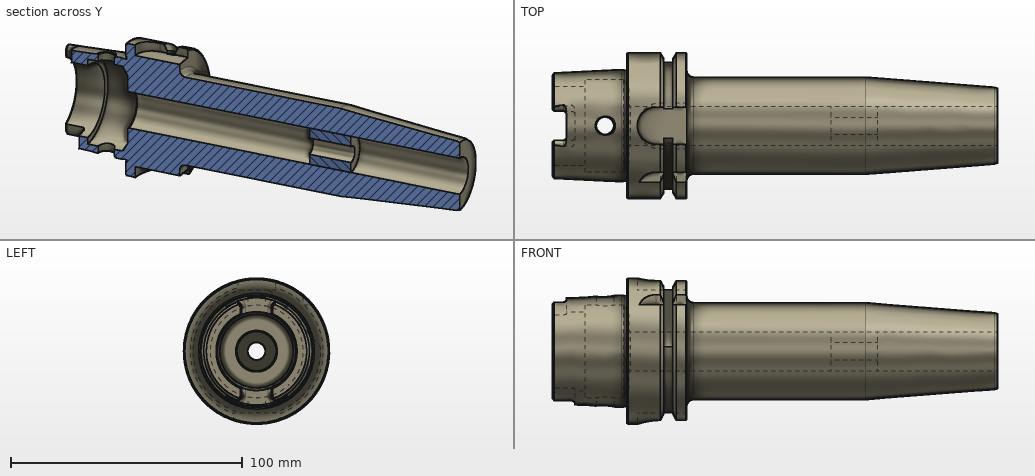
import cadquery as cq
import math


shank_length = 32.0
gauge_radius = 48.04 / 2
gauge_distance = 6.3
taper_slope = 1 / 20
neck_length = 1.0
taper_end = -2.3
neck_relief = 0.2
shank_chamfer_length = 0.8
shank_chamfer_depth = 1.1

flange_radius = 63.0 / 2
flange_width = 26.0
flange_chamfer = 0.6
groove_center = 18.0
groove_floor_radius = 55.0 / 2
groove_floor_width = 3.75
groove_mouth_width = 7.0
groove_half_angle = math.radians(30)
face_groove_radius = 25.0
face_groove_depth = 0.5

body_radius = 42.0 / 2
body_fillet = 2.7
nose_end = 160.0
nose_end_radius = 33.0 / 2
nose_half_angle = math.radians(4.5)
nose_chamfer_length = 1.5
nose_chamfer_depth = 0.4

mouth_radius = 34.0 / 2
mouth_chamfer = 0.5
mouth_length = 13.9
cavity_radius = 40.0 / 2
cavity_depth = 33.0
cavity_floor_radius = 15.8
cavity_floor_cone = 2.5

bore_radius = 16.92 / 2
bore_entry_chamfer = 0.5
screw_start = 88.0
screw_length = 20.0
screw_hole_radius = 7.5 / 2

drive_slot_width = 12.54
drive_slot_depth_top = 6.0
drive_slot_depth_bottom = 9.6
drive_slot_edge_radius = 2.3
drive_slot_floor_fillet = 1.4
drive_slot_lead_in = 0.8

cross_hole_radius = 7.5 / 2
cross_hole_x = -9.3
cross_hole_countersink_radius = 8.8 / 2

keyway_start = 4.6
keyway_floor = 26.5
top_keyway_width = 16.0
bottom_keyway_width = 20.0
corner_notch_offset = 20.0
corner_notch_width = 16.0

groove_flat_distance = 21.7
groove_flat_angle = 48.0


def taper_radius(x):
    """Outside radius of the shank taper at a position along the axis."""
    return gauge_radius + (x + gauge_distance) * taper_slope


def outer_form():
    """Shank, flange, body and nose as one turned shape."""
    shank_end = -shank_length
    neck_radius = taper_radius(taper_end) - neck_relief
    mouth_half = groove_mouth_width / 2
    floor_half = groove_floor_width / 2
    lip_radius = flange_radius - (mouth_half - floor_half) / math.tan(groove_half_angle)
    nose_start = nose_end - (body_radius - nose_end_radius) / math.tan(nose_half_angle)
    nose_edge_x = nose_end - nose_chamfer_length
    nose_edge_radius = nose_end_radius + nose_chamfer_length * math.tan(nose_half_angle)
    fillet_mid = body_fillet * (1 - math.sqrt(0.5))
    return (
        cq.Workplane("XY")
        .moveTo(shank_end, 0)
        .lineTo(shank_end, taper_radius(shank_end) - shank_chamfer_depth)
        .lineTo(shank_end + shank_chamfer_length, taper_radius(shank_end + shank_chamfer_length))
        .lineTo(taper_end, taper_radius(taper_end))
        .lineTo(-neck_length, neck_radius)
        .lineTo(face_groove_depth, neck_radius)
        .lineTo(face_groove_depth, face_groove_radius)
        .lineTo(0, face_groove_radius)
        .lineTo(0, flange_radius - flange_chamfer)
        .lineTo(flange_chamfer, flange_radius)
        .lineTo(groove_center - mouth_half, flange_radius)
        .lineTo(groove_center - floor_half, lip_radius)
        .lineTo(groove_center - floor_half, groove_floor_radius)
        .lineTo(groove_center + floor_half, groove_floor_radius)
        .lineTo(groove_center + floor_half, lip_radius)
        .lineTo(groove_center + mouth_half, flange_radius)
        .lineTo(flange_width - flange_chamfer, flange_radius)
        .lineTo(flange_width, flange_radius - flange_chamfer)
        .lineTo(flange_width, body_radius + body_fillet)
        .threePointArc(
            (flange_width + fillet_mid, body_radius + fillet_mid),
            (flange_width + body_fillet, body_radius),
        )
        .lineTo(nose_start, body_radius)
        .lineTo(nose_edge_x, nose_edge_radius)
        .lineTo(nose_end, nose_end_radius - nose_chamfer_depth)
        .lineTo(nose_end, 0)
        .close()
        .revolve(360, (0, 0, 0), (1, 0, 0))
    )


def inner_form():
    """Clamping cavity and the bore through to the nose, as one turned cutter."""
    shank_end = -shank_length
    mouth_end = shank_end + mouth_length
    cavity_floor = shank_end + cavity_depth
    return (
        cq.Workplane("XY")
        .moveTo(shank_end, 0)
        .lineTo(shank_end, mouth_radius + mouth_chamfer)
        .lineTo(shank_end + mouth_chamfer, mouth_radius)
        .lineTo(mouth_end, mouth_radius)
        .lineTo(mouth_end, cavity_radius)
        .lineTo(cavity_floor - cavity_floor_cone, cavity_radius)
        .lineTo(cavity_floor, cavity_floor_radius)
        .lineTo(cavity_floor, bore_radius + bore_entry_chamfer)
        .lineTo(cavity_floor + bore_entry_chamfer, bore_radius)
        .lineTo(nose_end, bore_radius)
        .lineTo(nose_end, 0)
        .close()
        .revolve(360, (0, 0, 0), (1, 0, 0))
    )


def drive_slot_outline(x, outside, widening):
    """Closed outline of a drive slot in the plane at x, on the +Z side.

    Its walls round over until they are tangent to the shank radius given by outside.
    Widening moves the walls and the rounded edges back by a constant distance.
    """
    half = drive_slot_width / 2 + widening
    center_y = drive_slot_width / 2 + drive_slot_edge_radius
    center_z = math.sqrt((outside - drive_slot_edge_radius) ** 2 - center_y ** 2)
    round_over = drive_slot_edge_radius - widening
    tangent_angle = math.atan2(center_z, center_y)
    middle_angle = (math.pi + tangent_angle) / 2
    tangent_y = center_y + round_over * math.cos(tangent_angle)
    tangent_z = center_z + round_over * math.sin(tangent_angle)
    middle_y = center_y + round_over * math.cos(middle_angle)
    middle_z = center_z + round_over * math.sin(middle_angle)
    inside_z = mouth_radius / 2
    above_z = gauge_radius
    return (
        cq.Workplane("YZ", origin=(x, 0, 0))
        .moveTo(-half, inside_z)
        .lineTo(half, inside_z)
        .lineTo(half, center_z)
        .threePointArc((middle_y, middle_z), (tangent_y, tangent_z))
        .lineTo(tangent_y, above_z)
        .lineTo(-tangent_y, above_z)
        .lineTo(-tangent_y, tangent_z)
        .threePointArc((-middle_y, middle_z), (-half, center_z))
        .close()
    )


def drive_slot(depth):
    """Cutter for a slot on the +Z side, with rounded floor corners and a lead-in at the open end."""
    shank_end = -shank_length
    floor_x = shank_end + depth
    half = drive_slot_width / 2
    outside = taper_radius(floor_x)
    slot = drive_slot_outline(shank_end, outside, 0).extrude(depth)
    reach = 0.1
    beside_walls = cq.selectors.BoxSelector(
        (floor_x - reach, -half - reach, 0), (floor_x + reach, half + reach, outside)
    )
    slot = slot.faces(">X").edges("|Z").edges(beside_walls).fillet(drive_slot_floor_fillet)
    wide = drive_slot_outline(shank_end, outside, drive_slot_lead_in).val()
    narrow = drive_slot_outline(shank_end + drive_slot_lead_in, outside, 0).val()
    lead_in = cq.Solid.makeLoft([wide, narrow], True)
    return slot.union(cq.Workplane(lead_in))


def keyway(width, floor_z, center_y):
    """Cutter for a round-ended slot on the +Z side, open at the back of the flange."""
    center_x = keyway_start + width / 2
    height = flange_radius - floor_z
    length = flange_width - center_x
    base = cq.Workplane("XY", origin=(center_x, center_y, floor_z))
    straight = base.center(length / 2, 0).rect(length, width).extrude(height)
    round_end = base.circle(width / 2).extrude(height)
    return round_end.union(straight)


def groove_flat():
    """Cutter for the flat in the floor of the gripper groove."""
    block = cq.Workplane("XY", origin=(groove_center, 0, groove_flat_distance)).box(
        groove_floor_width, 2 * flange_radius, flange_radius, centered=(True, True, False)
    )
    return block.rotate((0, 0, 0), (1, 0, 0), groove_flat_angle)


def cross_hole():
    """Cutter for the radial hole on the +Z side, with its countersink."""
    surface_z = taper_radius(cross_hole_x)
    sink_z = surface_z - (cross_hole_countersink_radius - cross_hole_radius)
    top_z = surface_z + cross_hole_radius
    profile = [
        (0, 0),
        (cross_hole_radius, 0),
        (cross_hole_radius, sink_z),
        (cross_hole_countersink_radius, surface_z),
        (cross_hole_countersink_radius, top_z),
        (0, top_z),
    ]
    hole = cq.Workplane("YZ").polyline(profile).close().revolve(360, (0, 0, 0), (0, 1, 0))
    return hole.translate((cross_hole_x, 0, 0))


def half_turn(shape):
    """Turn a shape to the opposite side of the tool axis."""
    return shape.rotate((0, 0, 0), (1, 0, 0), 180)


def make_holder():
    """Hollow-taper tool holder with all its cuts."""
    holder = outer_form().cut(inner_form())
    holder = holder.cut(drive_slot(drive_slot_depth_top))
    holder = holder.cut(half_turn(drive_slot(drive_slot_depth_bottom)))
    holder = holder.cut(cross_hole())
    holder = holder.cut(half_turn(cross_hole()))
    holder = holder.cut(keyway(top_keyway_width, keyway_floor, 0))
    holder = holder.cut(half_turn(keyway(bottom_keyway_width, keyway_floor, 0)))
    notch_center = -corner_notch_offset - corner_notch_width / 2
    holder = holder.cut(keyway(corner_notch_width, corner_notch_offset, notch_center))
    return holder.cut(groove_flat())


def make_stop_screw():
    """Plug in the axial bore with a coolant hole through it."""
    screw = cq.Workplane("YZ", origin=(screw_start, 0, 0)).circle(bore_radius).circle(screw_hole_radius)
    return screw.extrude(screw_length)


holder = make_holder()
stop_screw = make_stop_screw()

result = cq.Compound.makeCompound([holder.val(), stop_screw.val()])